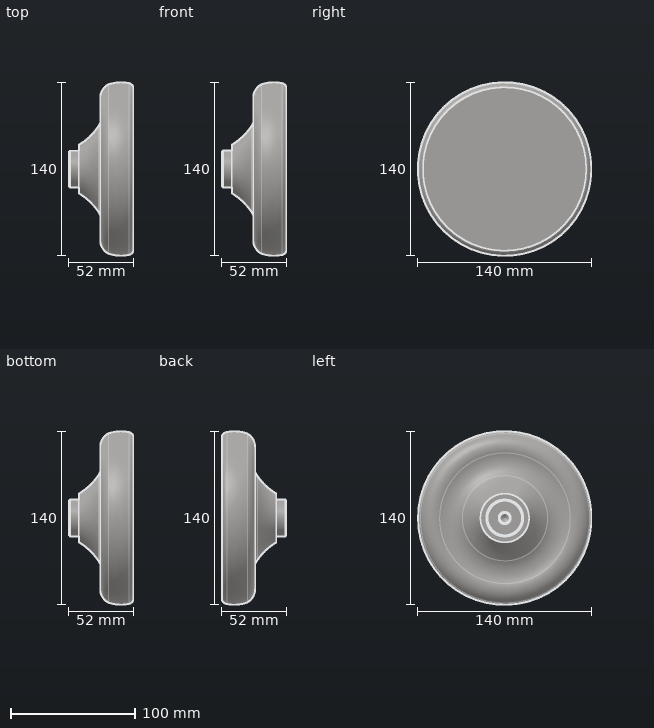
import cadquery as cq
import math

hub_radius = 15.0
hub_length = 8.1
hub_chamfer = 1.1

flare_start_radius = 19.6
flare_end_x = 23.7
flare_end_radius = 34.3
flare_arc_radius = 49.0

outer_radius = 70.0
total_width = 52.0
dish_edge_x = 25.9
dish_edge_radius = 52.6
lip_end_x = 31.8
crown_end_x = 48.3
crown_peak_x = 42.0
crown_arc_radius = 30.8
back_edge_radius = 65.8

hole_radius = 8.0 / 2
hole_depth = 16.8
hole_chamfer = 1.0
drill_tip_length = 2.4


def crown_radius(x):
    """Wheel radius at axial position x on the crown arc."""
    arc_height = math.sqrt(crown_arc_radius**2 - (x - crown_peak_x) ** 2)
    return outer_radius - crown_arc_radius + arc_height


def wheel_body():
    """Revolve the half profile: X is the axial position, Y the radius."""
    profile = (
        cq.Workplane("XY")
        .lineTo(0, hub_radius - hub_chamfer)
        .lineTo(hub_chamfer, hub_radius)
        .lineTo(hub_length, hub_radius)
        .lineTo(hub_length, flare_start_radius)
        .radiusArc((flare_end_x, flare_end_radius), -flare_arc_radius)
        .tangentArcPoint((dish_edge_x, dish_edge_radius), relative=False)
        .tangentArcPoint((lip_end_x, crown_radius(lip_end_x)), relative=False)
        .threePointArc((crown_peak_x, outer_radius), (crown_end_x, crown_radius(crown_end_x)))
        .tangentArcPoint((total_width, back_edge_radius), relative=False)
        .lineTo(total_width, 0)
        .close()
    )
    return profile.revolve(360, (0, 0, 0), (1, 0, 0))


def drilled_hole():
    """Chamfered bore with a conical drill tip."""
    profile = (
        cq.Workplane("XY")
        .lineTo(0, hole_radius + hole_chamfer)
        .lineTo(hole_chamfer, hole_radius)
        .lineTo(hole_depth, hole_radius)
        .lineTo(hole_depth + drill_tip_length, 0)
        .close()
    )
    return profile.revolve(360, (0, 0, 0), (1, 0, 0))


result = wheel_body().cut(drilled_hole())